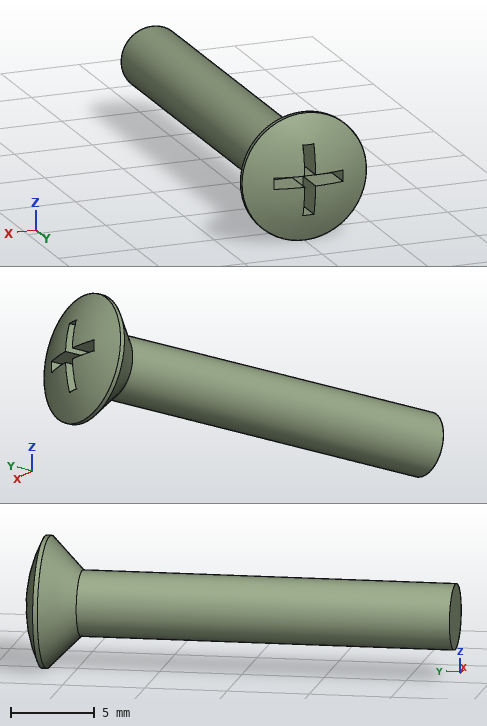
import cadquery as cq

total_length = 25.97
shank_radius = 2.0
head_radius = 4.0
rim_height = 0.29
dome_height = 0.99
recess_width = 0.7
recess_span = 4.41
recess_depth = 2.08

cone_height = head_radius - shank_radius
rim_top = total_length - dome_height
rim_bottom = rim_top - rim_height
shank_length = rim_bottom - cone_height

dome_radius = (head_radius**2 + dome_height**2) / (2 * dome_height)
mid_radius = head_radius / 2
dome_center = total_length - dome_radius
mid_dome_y = dome_center + (dome_radius**2 - mid_radius**2) ** 0.5


def screw_body():
    """Revolve the half profile of shank, countersink, rim and dome about Y."""
    return (
        cq.Workplane("XY")
        .lineTo(shank_radius, 0)
        .lineTo(shank_radius, shank_length)
        .lineTo(head_radius, rim_bottom)
        .lineTo(head_radius, rim_top)
        .threePointArc((mid_radius, mid_dome_y), (0, total_length))
        .close()
        .revolve(360, (0, 0, 0), (0, 1, 0))
    )


def cross_recess():
    """Two crossed blind slots with straight walls, sunk from the tip of the head."""
    recess_center = (0, total_length - recess_depth / 2, 0)
    slot_along_x = cq.Workplane("XY").box(recess_span, recess_depth, recess_width)
    slot_along_z = cq.Workplane("XY").box(recess_width, recess_depth, recess_span)
    return slot_along_x.union(slot_along_z).translate(recess_center)


result = screw_body().cut(cross_recess())